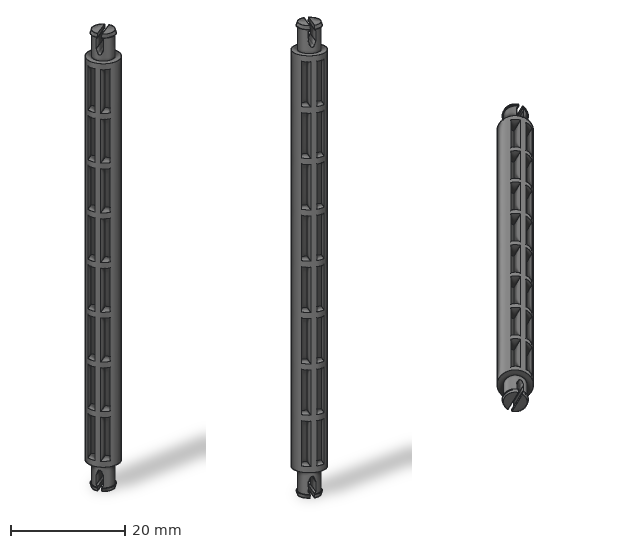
import cadquery as cq

total_length = 88.5
body_diameter = 6.4
body_length = 78.0
pin_diameter = 4.2

lip_diameter = 4.6
lip_height = 0.7
lip_tip_diameter = pin_diameter

slot_mouth_width = 0.8
slot_mouth_depth = 0.8
slot_wide_width = 1.3
slot_wide_start = 1.15
slot_wide_end = 3.0
slot_end_width = 0.7
slot_end_depth = 3.8
slot_depth = 4.1

pocket_rows = 8
rib_thickness = 1.15
spine_thickness = 1.1
pocket_outer_x = 2.0
pocket_floor_y = spine_thickness / 2
pocket_width = pocket_outer_x - spine_thickness / 2
pocket_length = (body_length - (pocket_rows + 1) * rib_thickness) / pocket_rows
pocket_pitch = pocket_length + rib_thickness


def make_pin():
    """Upper pin with its snap lip, standing on the top face of the body."""
    top = total_length / 2
    return (
        cq.Workplane("XZ")
        .moveTo(0, body_length / 2)
        .lineTo(pin_diameter / 2, body_length / 2)
        .lineTo(pin_diameter / 2, top - lip_height)
        .lineTo(lip_diameter / 2, top - lip_height)
        .lineTo(lip_tip_diameter / 2, top)
        .lineTo(0, top)
        .close()
        .revolve(360, (0, 0, 0), (0, 1, 0))
    )


def make_pin_slot():
    """Keyhole slot of the upper pin, cut right through along Y."""
    top = total_length / 2
    mouth = slot_mouth_width / 2
    wide = slot_wide_width / 2
    end = slot_end_width / 2
    return (
        cq.Workplane("XZ")
        .moveTo(-mouth, top)
        .lineTo(-mouth, top - slot_mouth_depth)
        .lineTo(-wide, top - slot_wide_start)
        .lineTo(-wide, top - slot_wide_end)
        .lineTo(-end, top - slot_end_depth)
        .threePointArc((0, top - slot_depth), (end, top - slot_end_depth))
        .lineTo(wide, top - slot_wide_end)
        .lineTo(wide, top - slot_wide_start)
        .lineTo(mouth, top - slot_mouth_depth)
        .lineTo(mouth, top)
        .close()
        .extrude(body_diameter / 2, both=True)
    )


def make_pockets():
    """Two columns of flat-floored pockets on both the -Y and +Y sides."""
    pocket_depth = body_diameter / 2 - pocket_floor_y
    pocket_x = (pocket_outer_x + spine_thickness / 2) / 2
    pocket_y = pocket_floor_y + pocket_depth / 2
    first_z = -pocket_pitch * (pocket_rows - 1) / 2
    centres = [
        (side_x * pocket_x, side_y * pocket_y, first_z + row * pocket_pitch)
        for row in range(pocket_rows)
        for side_x in (-1, 1)
        for side_y in (-1, 1)
    ]
    return cq.Workplane("XY").pushPoints(centres).box(pocket_width, pocket_depth, pocket_length)


body = cq.Workplane("XY").cylinder(body_length, body_diameter / 2)
pin = make_pin().cut(make_pin_slot())
result = body.cut(make_pockets()).union(pin).union(pin.mirror("XY"))